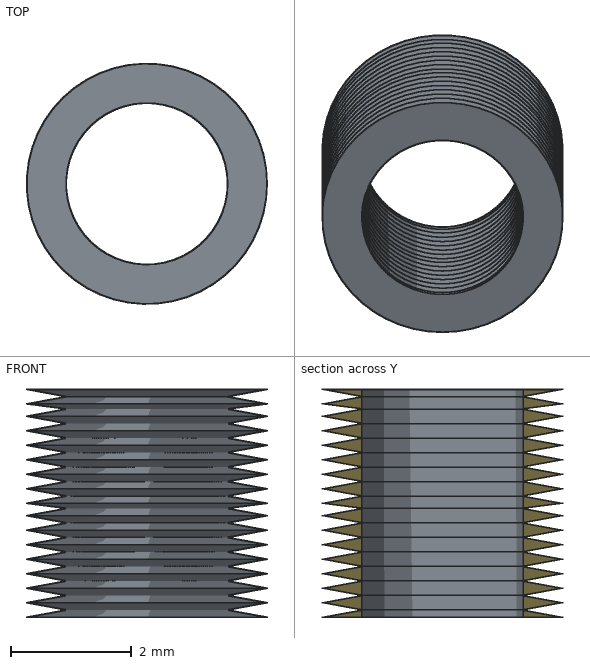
import cadquery as cq

height = 3.78
outer_radius = 1.995
bore_radius = 1.335
root_wall = 0.005
groove_count = 16
short_grooves = (1, 8)
short_flank_reduction = 0.035

root_radius = bore_radius + root_wall
groove_pitch = (height + len(short_grooves) * short_flank_reduction) / groove_count
flank_height = groove_pitch / 2


def fin_profile():
    """Half section from the top rim to the bottom rim, with knife-edged fins."""
    z = height
    points = [(bore_radius, z), (outer_radius, z)]
    for groove in range(groove_count):
        upper_flank = flank_height
        if groove in short_grooves:
            upper_flank -= short_flank_reduction
        z -= upper_flank
        points.append((root_radius, z))
        z -= flank_height
        points.append((outer_radius, z))
    points.append((bore_radius, z))
    return points


result = (
    cq.Workplane("XZ")
    .polyline(fin_profile())
    .close()
    .revolve(360, (0, 0, 0), (0, 1, 0))
    .translate((0, 0, -height / 2))
)